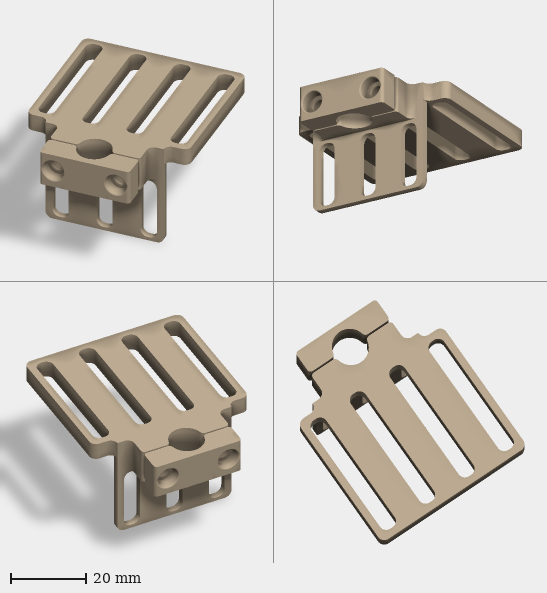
import cadquery as cq
import math


total_length = 56.0
total_height = 30.0

plate_width = 46.75
plate_length = 40.0
plate_thickness = 5.0
corner_radius = 2.0
edge_margin = 2.0

slot_width = 4.7
plate_slot_count = 4
flange_slot_count = 3
slot_pitch = (plate_width - 2 * edge_margin - slot_width) / (plate_slot_count - 1)
plate_slot_length = plate_length - 2 * edge_margin

flange_thickness = 2.0
flange_width = (flange_slot_count - 1) * slot_pitch + slot_width + 2 * edge_margin
flange_slot_clearance = 1.0

clamp_width = 26.0
clamp_height = 10.0
clamp_gap = 0.5
clamp_corner_radius = 1.0
bore_length = 10.0
bore_radius = (bore_length - clamp_gap) / 2
bore_lip_radius = 1.25
cap_front_distance = 7.0

screw_spacing = 18.0
counterbore_diameter = 6.0
counterbore_depth = 3.6
screw_hole_diameter = 3.35
screw_hole_depth = 5.0
mouth_radius = 0.4

cap_front = -cap_front_distance
plate_back = total_length - cap_front_distance
plate_front = plate_back - plate_length
flange_front = plate_front - flange_thickness
block_front = clamp_gap / 2
cap_back = -clamp_gap / 2
screw_z = -clamp_height / 2


def block(width, front, back, height):
    """Box centred on X, from front to back along Y, hanging down from Z = 0."""
    box = cq.Workplane("XY").box(width, back - front, height, centered=(True, False, False))
    return box.translate((0, front, -height))


def slot_row(count, length, depth):
    """Row of rounded slots along X, centred on the origin, cut along Z."""
    return (
        cq.Workplane("XY")
        .rarray(slot_pitch, 0.55, count, 1)
        .rect(slot_width, length)
        .extrude(depth)
        .edges("|Z")
        .fillet(corner_radius)
    )


def inside_corner_webs(half_width, wall_y, height):
    """Pair of concave corner fills where side faces meet a wall that faces -Y."""
    arc_inset = corner_radius * (1 - math.sqrt(0.5))
    right = (
        cq.Workplane("XY")
        .moveTo(half_width, wall_y)
        .lineTo(half_width + corner_radius, wall_y)
        .threePointArc((half_width + arc_inset, wall_y - arc_inset), (half_width, wall_y - corner_radius))
        .close()
        .extrude(-height)
    )
    return right.union(right.mirror("YZ"))


def cut_bore(body, split_y):
    """Cut half of the bore, centred on the split face, and round the lips where they meet."""
    bore = cq.Workplane("XY").center(0, split_y).circle(bore_radius).extrude(-clamp_height)
    reach = bore_radius + clamp_gap
    lips = cq.selectors.BoxSelector(
        (-reach, split_y - clamp_gap, -clamp_height),
        (reach, split_y + clamp_gap, 0),
    )
    return body.cut(bore).edges("|Z").edges(lips).fillet(bore_lip_radius)


def cut_hole_pair(body, mouth_y, diameter, depth):
    """Cut a round hole at each screw, running along +Y from a flat face at mouth_y."""
    mouth_plane = cq.Plane(origin=(0, mouth_y, screw_z), xDir=(1, 0, 0), normal=(0, -1, 0))
    holes = cq.Workplane(mouth_plane).rarray(screw_spacing, 0.55, 2, 1).circle(diameter / 2).extrude(-depth)
    return body.cut(holes)


def round_hole_mouths(body, mouth_y):
    """Round the smallest circular edges that lie around the screw axes at mouth_y."""
    half_height = counterbore_diameter / 2
    mouth_box = cq.selectors.BoxSelector(
        (-clamp_width / 2, mouth_y - mouth_radius, screw_z - half_height),
        (clamp_width / 2, mouth_y + mouth_radius, screw_z + half_height),
    )
    smallest = cq.selectors.RadiusNthSelector(0)
    return body.edges("%CIRCLE").edges(mouth_box).edges(smallest).fillet(mouth_radius)


def make_plate():
    plate = block(plate_width, plate_front, plate_back, plate_thickness)
    plate = plate.edges("|Z").fillet(corner_radius)
    slots = slot_row(plate_slot_count, plate_slot_length, plate_thickness)
    return plate.cut(slots.translate((0, plate_front + plate_length / 2, -plate_thickness)))


def make_flange():
    flange = block(flange_width, flange_front, plate_front, total_height)
    flange = flange.edges("|Y and <Z").fillet(corner_radius)
    slot_top = -clamp_height - flange_slot_clearance
    slot_bottom = -total_height + flange_slot_clearance
    slots = slot_row(flange_slot_count, slot_top - slot_bottom, flange_thickness)
    slots = slots.rotate((0, 0, 0), (1, 0, 0), 90)
    return flange.cut(slots.translate((0, plate_front, (slot_top + slot_bottom) / 2)))


def make_clamp_block():
    clamp = block(clamp_width, block_front, flange_front, clamp_height)
    clamp = clamp.edges("|Z and <Y").fillet(clamp_corner_radius)
    return cut_bore(clamp, block_front)


def make_bracket():
    bracket = make_plate().union(make_flange()).union(make_clamp_block())
    bracket = bracket.union(inside_corner_webs(flange_width / 2, plate_front, plate_thickness))
    bracket = bracket.union(inside_corner_webs(clamp_width / 2, flange_front, clamp_height))
    return cut_hole_pair(bracket, block_front, screw_hole_diameter, screw_hole_depth)


def make_cap():
    cap = block(clamp_width, cap_front, cap_back, clamp_height)
    cap = cap.edges("|Z").fillet(clamp_corner_radius)
    cap = cut_bore(cap, cap_back)
    cap = cut_hole_pair(cap, cap_front, counterbore_diameter, counterbore_depth)
    cap = round_hole_mouths(cap, cap_front)
    counterbore_floor = cap_front + counterbore_depth
    cap = cut_hole_pair(cap, counterbore_floor, screw_hole_diameter, cap_back - counterbore_floor)
    return round_hole_mouths(cap, counterbore_floor)


bracket = make_bracket()
cap = make_cap()

result = cq.Compound.makeCompound([bracket.val(), cap.val()])